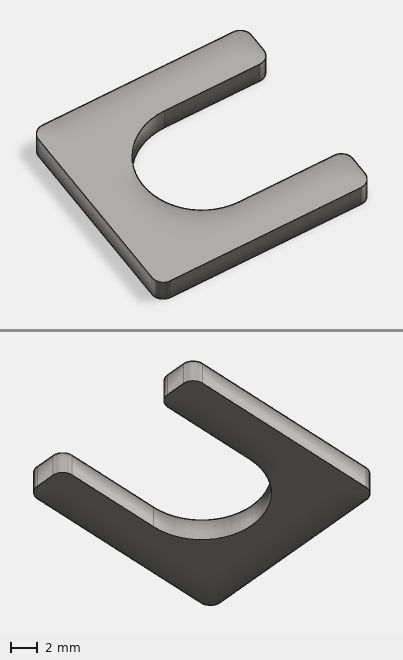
import cadquery as cq

width = 18.0
length = 19.0
thickness = 2.0

slot_width = 10.5
slot_floor = 4.25
slot_radius = slot_width / 2
slot_center_y = -length / 2 + slot_floor + slot_radius

corner_radius = 1.0


def u_outline():
    """Plate outline with a round-bottomed slot cut in from the +Y edge."""
    half_width = width / 2
    half_length = length / 2
    return (
        cq.Workplane("XY")
        .moveTo(-half_width, -half_length)
        .lineTo(half_width, -half_length)
        .lineTo(half_width, half_length)
        .lineTo(slot_radius, half_length)
        .lineTo(slot_radius, slot_center_y)
        .threePointArc((0, slot_center_y - slot_radius), (-slot_radius, slot_center_y))
        .lineTo(-slot_radius, half_length)
        .lineTo(-half_width, half_length)
        .close()
    )


plate = u_outline().extrude(thickness)

base_corners = plate.faces("<Y").edges("|Z")
tip_corners = plate.faces(">Y").edges("|Z")
result = plate.newObject(base_corners.vals() + tip_corners.vals()).fillet(corner_radius)